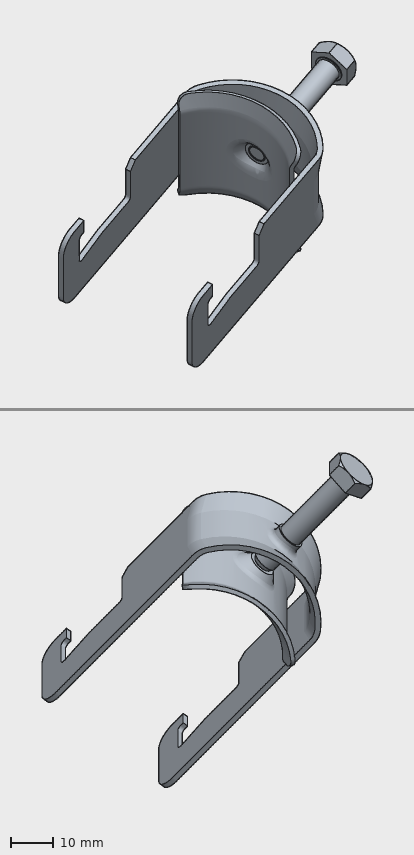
import cadquery as cq
import math


STRAP_WIDTH_X = 37.6
STRAP_HEIGHT = 24.3
STRAP_THICKNESS = 1.4
BOW_CROWN_Y = 65.9
BOW_RADIUS = 21.4
CORNER_RADIUS = 6.5
BOW_BAND_HEIGHT = 12.0
FLARE_SHIFT = 1.9
LEG_TIP_RADIUS = 5.0
HOOK_LIP_Y = 8.95
HOOK_LIP_Z = 7.8
SLOT_END_Y = 7.0
SLOT_END_Z = -1.7
SLOT_BEND_Y = 16.9
SLOT_FLOOR_Z = -0.2
SLOT_START_Y = 29.1
SLOT_FILLET = 1.0
SHOULDER_CHAMFER = 2.1
COLLAR_RADIUS = 3.5
COLLAR_TOP_Y = 68.3
COLLAR_FILLET = 1.5

SADDLE_HEIGHT = 37.0
SADDLE_THICKNESS = 1.1
SADDLE_CROWN_Y = 56.0
SADDLE_RADIUS = 20.6
SADDLE_HALF_ANGLE = 52.0
RIM_BEND_Z = 13.5
RIM_BEND_RADIUS = 2.2
RIM_ANGLE = 25.0
SADDLE_CORNER_RADIUS = 2.6
DIMPLE_TOP_Y = 58.1
DIMPLE_TOP_RADIUS = 3.4
DIMPLE_FLOOR_RADIUS = 3.2
DIMPLE_SLOPE = 41.0
DIMPLE_FILLET = 3.0

SCREW_HEAD_Y = 92.3
HEAD_HEIGHT = 4.1
HEAD_ACROSS_FLATS = 10.0
HEAD_CHAMFER = 0.6
HEAD_TOP_RADIUS = 5.0
WASHER_FACE_RADIUS = 3.6
WASHER_FACE_HEIGHT = 0.3
SHANK_DIAMETER = 6.0
SHANK_END_Y = 59.2
NECK_RADIUS = 2.3
NECK_CHAMFER = 0.3

BOW_AXIS_Y = BOW_CROWN_Y - BOW_RADIUS
SADDLE_AXIS_Y = SADDLE_CROWN_Y - SADDLE_RADIUS
DIMPLE_FLOOR_Y = DIMPLE_TOP_Y - SADDLE_THICKNESS
SHANK_RADIUS = SHANK_DIAMETER / 2


def revolve_about_screw_axis(points):
    """Solid of revolution about the Y axis from (radius, y) points."""
    return cq.Workplane("XY").polyline(points).close().revolve(360, (0, 0, 0), (0, 1, 0))


def bow_outline(inset):
    """Closed U outline, moved inwards by inset, with legs running past Y = 0."""
    half_width = STRAP_WIDTH_X / 2 - inset
    bow_radius = BOW_RADIUS - inset
    corner_radius = CORNER_RADIUS - inset
    legs_end_y = -2 * FLARE_SHIFT
    corner_x = half_width - corner_radius
    center_gap = bow_radius - corner_radius
    corner_y = BOW_AXIS_Y + math.sqrt(center_gap**2 - corner_x**2)
    bow_angle = math.atan2(corner_y - BOW_AXIS_Y, corner_x)
    tangent_x = bow_radius * math.cos(bow_angle)
    tangent_y = BOW_AXIS_Y + bow_radius * math.sin(bow_angle)
    mid_x = corner_x + corner_radius * math.cos(bow_angle / 2)
    mid_y = corner_y + corner_radius * math.sin(bow_angle / 2)
    return (
        cq.Workplane("XY")
        .moveTo(half_width, legs_end_y)
        .lineTo(half_width, corner_y)
        .threePointArc((mid_x, mid_y), (tangent_x, tangent_y))
        .threePointArc((0, BOW_AXIS_Y + bow_radius), (-tangent_x, tangent_y))
        .threePointArc((-mid_x, mid_y), (-half_width, corner_y))
        .lineTo(-half_width, legs_end_y)
        .close()
        .val()
    )


def bow_slab(outline):
    """Straight middle band plus an upper and a lower part leaning towards +Y."""
    half_band = BOW_BAND_HEIGHT / 2
    flare_height = (STRAP_HEIGHT - BOW_BAND_HEIGHT) / 2
    face = cq.Face.makeFromWires(outline)
    bottom_face = face.translate(cq.Vector(0, 0, -half_band))
    slab = cq.Workplane(cq.Solid.extrudeLinear(bottom_face, cq.Vector(0, 0, BOW_BAND_HEIGHT)))
    for side in (1, -1):
        start_face = face.translate(cq.Vector(0, 0, side * half_band))
        lean = cq.Vector(0, FLARE_SHIFT, side * flare_height)
        slab = slab.union(cq.Workplane(cq.Solid.extrudeLinear(start_face, lean)))
    return slab


def strap_side_block():
    """Side outline of the strap with its hooks, extruded across the full width."""
    top_z = STRAP_HEIGHT / 2
    bow_end_y = BOW_CROWN_Y + 2 * FLARE_SHIFT
    block = (
        cq.Workplane("YZ")
        .polyline([
            (0, -top_z),
            (bow_end_y, -top_z),
            (bow_end_y, top_z),
            (SLOT_START_Y + SHOULDER_CHAMFER, top_z),
            (SLOT_START_Y, top_z - SHOULDER_CHAMFER),
            (SLOT_START_Y, SLOT_FLOOR_Z),
            (SLOT_BEND_Y, SLOT_FLOOR_Z),
            (SLOT_END_Y, SLOT_END_Z),
            (SLOT_END_Y, HOOK_LIP_Z),
            (HOOK_LIP_Y, HOOK_LIP_Z),
            (HOOK_LIP_Y, top_z),
            (0, top_z),
        ])
        .close()
        .extrude(STRAP_WIDTH_X / 2, both=True)
    )

    def round_edges(solid, radius, corners):
        for y, z in corners:
            selector = cq.selectors.NearestToPointSelector((0, y, z))
            solid = solid.edges("|X").edges(selector).fillet(radius)
        return solid

    block = round_edges(block, LEG_TIP_RADIUS, [(0, -top_z), (0, top_z)])
    slot_corners = [
        (SLOT_START_Y, SLOT_FLOOR_Z),
        (SLOT_END_Y, SLOT_END_Z),
        (SLOT_END_Y, HOOK_LIP_Z),
    ]
    return round_edges(block, SLOT_FILLET, slot_corners)


def make_strap():
    sheet = bow_slab(bow_outline(0)).cut(bow_slab(bow_outline(STRAP_THICKNESS)))
    strap = sheet.intersect(strap_side_block()).clean()

    collar_root_y = BOW_CROWN_Y - STRAP_THICKNESS / 2
    collar = revolve_about_screw_axis([
        (0, collar_root_y),
        (COLLAR_RADIUS, collar_root_y),
        (COLLAR_RADIUS, COLLAR_TOP_Y),
        (0, COLLAR_TOP_Y),
    ])
    strap = strap.union(collar)
    root_reach = COLLAR_RADIUS + COLLAR_FILLET
    root_box = cq.selectors.BoxSelector(
        (-root_reach, collar_root_y, -root_reach),
        (root_reach, COLLAR_TOP_Y - COLLAR_FILLET, root_reach),
    )
    strap = strap.edges(root_box).edges("not %LINE").fillet(COLLAR_FILLET)

    bore = revolve_about_screw_axis([
        (0, BOW_AXIS_Y),
        (SHANK_RADIUS, BOW_AXIS_Y),
        (SHANK_RADIUS, SCREW_HEAD_Y),
        (0, SCREW_HEAD_Y),
    ])
    return strap.cut(bore)


def saddle_section():
    """Sheet cross-section in the YZ plane: straight middle with both ends bent towards +Y."""
    angle = math.radians(RIM_ANGLE)
    outer_y = SADDLE_CROWN_Y
    inner_y = outer_y - SADDLE_THICKNESS
    bend_center_y = outer_y + RIM_BEND_RADIUS
    inner_bend_radius = RIM_BEND_RADIUS + SADDLE_THICKNESS
    rim_length = (SADDLE_HEIGHT / 2 - RIM_BEND_Z - inner_bend_radius * math.sin(angle)) / math.cos(angle)

    def bend_point(radius, turn):
        return bend_center_y - radius * math.cos(turn), RIM_BEND_Z + radius * math.sin(turn)

    def rim_point(radius):
        y, z = bend_point(radius, angle)
        return y + rim_length * math.sin(angle), z + rim_length * math.cos(angle)

    def mirrored(point):
        return point[0], -point[1]

    outer_mid = bend_point(RIM_BEND_RADIUS, angle / 2)
    outer_end = bend_point(RIM_BEND_RADIUS, angle)
    outer_rim = rim_point(RIM_BEND_RADIUS)
    inner_mid = bend_point(inner_bend_radius, angle / 2)
    inner_end = bend_point(inner_bend_radius, angle)
    inner_rim = rim_point(inner_bend_radius)
    return (
        cq.Workplane("YZ")
        .moveTo(outer_y, -RIM_BEND_Z)
        .lineTo(outer_y, RIM_BEND_Z)
        .threePointArc(outer_mid, outer_end)
        .lineTo(*outer_rim)
        .lineTo(*inner_rim)
        .lineTo(*inner_end)
        .threePointArc(inner_mid, (inner_y, RIM_BEND_Z))
        .lineTo(inner_y, -RIM_BEND_Z)
        .threePointArc(mirrored(inner_mid), mirrored(inner_end))
        .lineTo(*mirrored(inner_rim))
        .lineTo(*mirrored(outer_rim))
        .lineTo(*mirrored(outer_end))
        .threePointArc(mirrored(outer_mid), (outer_y, -RIM_BEND_Z))
        .close()
    )


def dimple_cone(end_radius, end_y, root_y):
    """Cone widening from its small end at end_y down to root_y."""
    root_radius = end_radius + (end_y - root_y) * math.tan(math.radians(DIMPLE_SLOPE))
    return revolve_about_screw_axis([(0, root_y), (root_radius, root_y), (end_radius, end_y), (0, end_y)])


def dimple_edges(low_y, high_y):
    """Selects edges near the screw axis whose centers lie between two Y levels."""
    reach = 2 * DIMPLE_TOP_RADIUS
    return cq.selectors.BoxSelector((-reach, low_y, -reach), (reach, high_y, reach))


def make_saddle():
    axis_start = (SADDLE_AXIS_Y, 0)
    axis_end = (SADDLE_AXIS_Y, 1)
    saddle = (
        saddle_section()
        .revolve(2 * SADDLE_HALF_ANGLE, axis_start, axis_end)
        .rotate((0, SADDLE_AXIS_Y, 0), (0, SADDLE_AXIS_Y, 1), -SADDLE_HALF_ANGLE)
    )
    for side_x in (-1, 1):
        for side_z in (-1, 1):
            corner = (side_x * SADDLE_RADIUS, SADDLE_AXIS_Y, side_z * SADDLE_HEIGHT)
            corner_edge = saddle.edges("%LINE").edges(cq.selectors.NearestToPointSelector(corner))
            saddle = corner_edge.fillet(SADDLE_CORNER_RADIUS)

    inner_crown_y = SADDLE_CROWN_Y - SADDLE_THICKNESS
    raised_cone = dimple_cone(DIMPLE_TOP_RADIUS, DIMPLE_TOP_Y, inner_crown_y)
    hollow_cone = dimple_cone(DIMPLE_FLOOR_RADIUS, DIMPLE_FLOOR_Y, SADDLE_AXIS_Y)
    saddle = saddle.union(raised_cone).cut(hollow_cone)
    outer_foot = dimple_edges(inner_crown_y, SADDLE_CROWN_Y)
    saddle = saddle.edges(outer_foot).edges("not %LINE").fillet(DIMPLE_FILLET - SADDLE_THICKNESS)
    inner_rim = dimple_edges(SADDLE_AXIS_Y, inner_crown_y)
    saddle = saddle.edges(inner_rim).edges("not %LINE").fillet(DIMPLE_FILLET)

    neck_hole = (
        cq.Workplane("XZ", origin=(0, SADDLE_AXIS_Y, 0)).circle(NECK_RADIUS).extrude(-2 * SADDLE_RADIUS)
    )
    return saddle.cut(neck_hole)


def make_screw():
    head_bottom_y = SCREW_HEAD_Y - HEAD_HEIGHT
    head = (
        cq.Workplane("XZ", origin=(0, SCREW_HEAD_Y, 0))
        .polygon(6, HEAD_ACROSS_FLATS, circumscribed=True)
        .extrude(HEAD_HEIGHT)
    )
    corner_radius = HEAD_ACROSS_FLATS / math.sqrt(3)
    head_envelope = revolve_about_screw_axis([
        (0, head_bottom_y),
        (corner_radius, head_bottom_y),
        (corner_radius, SCREW_HEAD_Y - HEAD_CHAMFER),
        (HEAD_TOP_RADIUS, SCREW_HEAD_Y),
        (0, SCREW_HEAD_Y),
    ])
    washer_y = head_bottom_y - WASHER_FACE_HEIGHT
    shaft = revolve_about_screw_axis([
        (0, head_bottom_y),
        (WASHER_FACE_RADIUS, head_bottom_y),
        (WASHER_FACE_RADIUS, washer_y),
        (SHANK_RADIUS, washer_y),
        (SHANK_RADIUS, SHANK_END_Y),
        (NECK_RADIUS, DIMPLE_TOP_Y),
        (NECK_RADIUS, DIMPLE_FLOOR_Y + NECK_CHAMFER),
        (NECK_RADIUS - NECK_CHAMFER, DIMPLE_FLOOR_Y),
        (0, DIMPLE_FLOOR_Y),
    ])
    return head.intersect(head_envelope).union(shaft)


strap = make_strap()
saddle = make_saddle()
screw = make_screw()
result = cq.Compound.makeCompound([
    strap.solids().val(),
    saddle.solids().val(),
    screw.solids().val(),
])